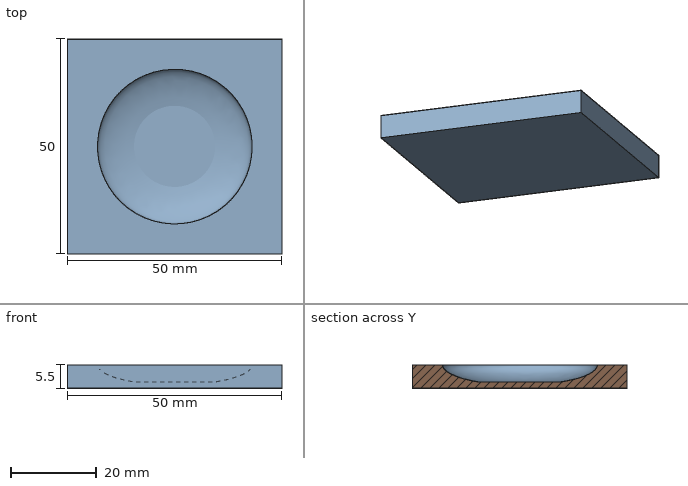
import math

import cadquery as cq

side = 50.0
thickness = 5.5

rim_radius = 18.0
floor_radius = 9.45
dish_depth = 4.0

floor_z = thickness - dish_depth

ellipsoid_height = dish_depth / math.sqrt(1 - (floor_radius / rim_radius) ** 2)

floor_angle = 360 - math.degrees(math.acos(floor_radius / rim_radius))


def make_plate():
    return cq.Workplane("XY").rect(side, side).extrude(thickness)


def make_dish():
    """Half section of the dish in the XZ plane, revolved about Z."""
    return (
        cq.Workplane("XZ")
        .moveTo(0, floor_z)
        .lineTo(floor_radius, floor_z)
        .ellipseArc(rim_radius, ellipsoid_height, floor_angle, 360)
        .lineTo(0, thickness)
        .close()
        .revolve(360, (0, 0, 0), (0, 1, 0))
    )


result = make_plate().cut(make_dish())